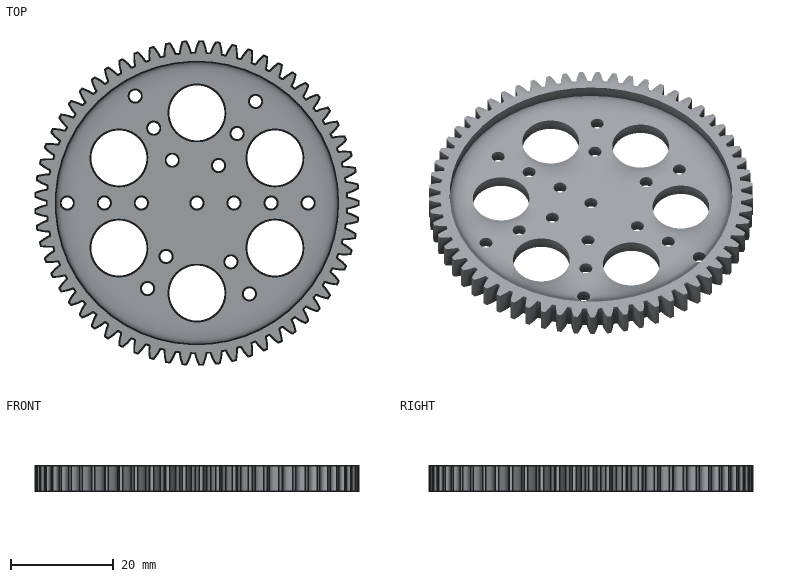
import cadquery as cq
import math

tooth_count = 61
outer_radius = 31.5
root_radius = 29.2
module = 2 * outer_radius / (tooth_count + 2)
pitch_radius = module * tooth_count / 2
pressure_angle = math.radians(20)
base_radius = pitch_radius * math.cos(pressure_angle)
flank_points = 5

thickness = 5.0
pocket_diameter = 55.0
pocket_depth = thickness / 2

window_count = 6
window_diameter = 11.0
window_circle_radius = 17.5

pin_diameter = 2.5
arm_count = 6
holes_per_arm = 3
first_arm_reach = 21.6
hole_spacing = first_arm_reach / holes_per_arm
arm_step = hole_spacing / arm_count
largest_hole_radius = (pocket_diameter - pin_diameter) / 2


def polar(radius, angle):
    return (radius * math.cos(angle), radius * math.sin(angle))


def involute_angle(radius):
    """Angle the involute has swept from the base circle out to the given radius."""
    roll = math.acos(base_radius / radius)
    return math.tan(roll) - roll


def half_tooth_angle(radius):
    """Half of the angle a tooth fills at the given radius."""
    half_at_pitch = math.pi / (2 * tooth_count)
    return half_at_pitch + involute_angle(pitch_radius) - involute_angle(radius)


def gear_blank():
    radius_step = (outer_radius - root_radius) / (flank_points - 1)
    flank_radii = [root_radius + i * radius_step for i in range(flank_points)]
    tooth_pitch = 2 * math.pi / tooth_count
    root_half = half_tooth_angle(root_radius)

    outline = cq.Workplane("XY").moveTo(*polar(root_radius, -root_half))
    for tooth in range(tooth_count):
        middle = tooth * tooth_pitch
        rising = [polar(r, middle - half_tooth_angle(r)) for r in flank_radii]
        falling = [polar(r, middle + half_tooth_angle(r)) for r in reversed(flank_radii)]
        outline = outline.spline(rising[1:], includeCurrent=True)
        outline = outline.threePointArc(polar(outer_radius, middle), falling[0])
        outline = outline.spline(falling[1:], includeCurrent=True)
        gap_middle = middle + tooth_pitch / 2
        next_root = polar(root_radius, middle + tooth_pitch - root_half)
        outline = outline.threePointArc(polar(root_radius, gap_middle), next_root)
    return outline.close().extrude(thickness)


def pin_positions():
    """The centre hole and every arm hole that fits inside the pocket."""
    positions = [(0, 0)]
    for arm in range(arm_count):
        angle = 2 * math.pi * arm / arm_count
        for hole in range(1, holes_per_arm + 1):
            radius = hole * hole_spacing + arm * arm_step
            if radius < largest_hole_radius:
                positions.append(polar(radius, angle))
    return positions


def pocket():
    floor = thickness - pocket_depth
    return cq.Workplane("XY").workplane(offset=floor).circle(pocket_diameter / 2).extrude(pocket_depth)


def windows():
    first_angle = 90
    layout = cq.Workplane("XY").polarArray(window_circle_radius, first_angle, 360, window_count)
    return layout.circle(window_diameter / 2).extrude(thickness)


def pin_holes():
    return cq.Workplane("XY").pushPoints(pin_positions()).circle(pin_diameter / 2).extrude(thickness)


result = gear_blank().cut(pocket()).cut(windows()).cut(pin_holes())